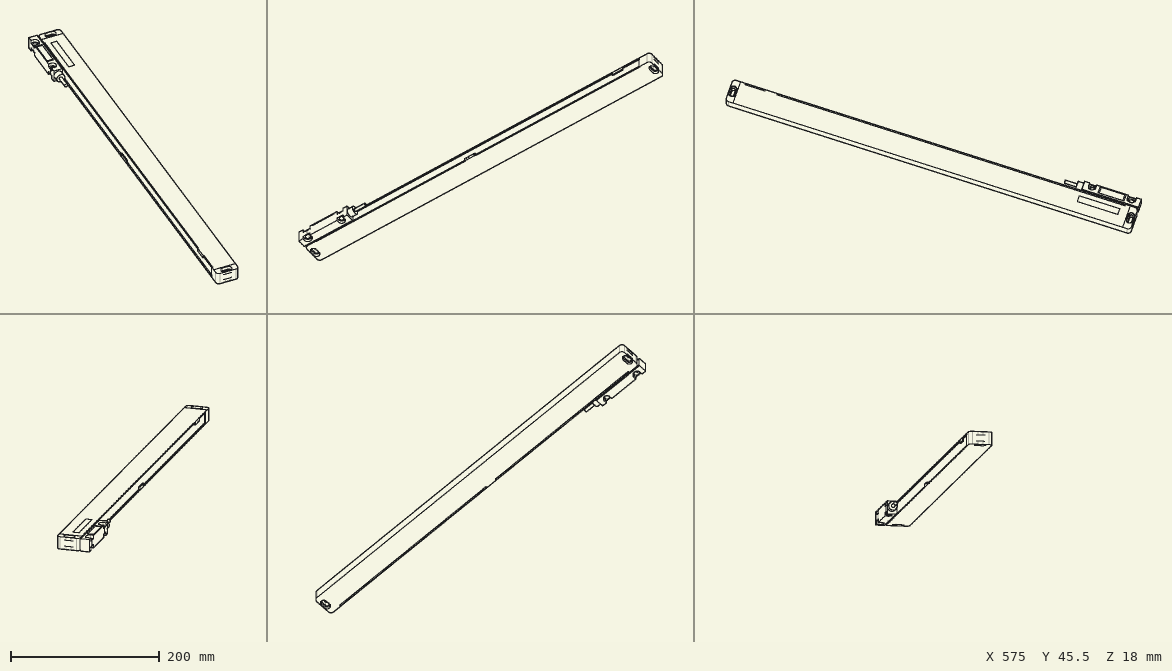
import cadquery as cq


length = 575.0
height = 18.0
label_rise = 0.1
beam_height = height - label_rise
beam_depth = 32.0
corner_radius = 4.5

end_length = 11.0
end_step = 0.1

mount_inset = 5.0
mount_y = beam_depth / 2
mount_slot_length = 11.5
mount_slot_width = 5.0
mount_recess_length = 15.5
mount_recess_width = 8.5
mount_recess_depth = 4.5

channel_inset = 18.0
channel_depth = 2.0
channel_lip = 1.0
tab_width = 17.0
tab_height = 4.5
top_tab_x = 520.5
bottom_tab_x = 275.0

label_left = 23.0
label_length = 57.5
label_width = 8.5
label_y = 12.5

head_gap = 0.5
head_length = 80.5
head_depth = 13.0
head_back = -head_gap
head_front = head_back - head_depth
head_chamfer = 1.0

bolt_setback = 4.0
bolt_y = head_front + bolt_setback
slot_x = 12.5
hole_x = 68.5
bolt_diameter = 6.5
bolt_recess_diameter = 10.0
bolt_recess_depth = 4.5
slot_travel = 2.0

panel_left = 21.0
panel_right = 58.0
panel_shoulder = 2.0
panel_margin = 1.0
panel_width = 8.5
panel_depth = 0.25

cable_setback = 6.5
cable_rise = 0.5
cable_y = head_front + cable_setback
cable_z = height / 2 + cable_rise
gland_diameter = 12.0
gland_length = 8.5
cable_diameter = 4.5
cable_end = 106.5


def box(x0, x1, y0, y1, z0, z1):
    """Axis-aligned block between two opposite corners."""
    return cq.Workplane("XY").box(x1 - x0, y1 - y0, z1 - z0, centered=False).translate((x0, y0, z0))


def slot(x, y, z0, z1, slot_length, width, angle):
    """Upright round-ended block; angle 0 runs along X and 90 along Y."""
    outline = cq.Workplane("XY", origin=(x, y, z0)).slot2D(slot_length, width, angle)
    return outline.extrude(z1 - z0)


def disc(x, y, z0, z1, diameter):
    """Upright cylinder."""
    return cq.Workplane("XY", origin=(x, y, z0)).circle(diameter / 2).extrude(z1 - z0)


def end_mount_cut(x):
    """Through slot with a wider recess on the top and on the underside."""
    through = slot(x, mount_y, 0, height, mount_slot_length, mount_slot_width, 90)
    for z0, z1 in ((0, mount_recess_depth), (beam_height - mount_recess_depth, height)):
        through = through.union(slot(x, mount_y, z0, z1, mount_recess_length, mount_recess_width, 90))
    return through


def front_channel():
    """Shallow channel along the front face, interrupted by two tabs flush with that face."""
    channel = box(
        channel_inset, length - channel_inset, 0, channel_depth, channel_lip, beam_height - channel_lip
    )
    tabs = ((top_tab_x, beam_height - tab_height, beam_height), (bottom_tab_x, 0, tab_height))
    for x, z0, z1 in tabs:
        channel = channel.cut(box(x - tab_width / 2, x + tab_width / 2, 0, channel_depth, z0, z1))
    return channel


def make_scale_unit():
    beam = box(0, length, 0, beam_depth, 0, beam_height).edges("|Z").fillet(corner_radius)
    for x0, x1 in ((0, end_length), (length - end_length, length)):
        beam = beam.cut(box(x0, x1, 0, beam_depth, beam_height - end_step, beam_height))
    for x in (mount_inset, length - mount_inset):
        beam = beam.cut(end_mount_cut(x))
    beam = beam.cut(front_channel())
    label = box(
        label_left, label_left + label_length,
        label_y - label_width / 2, label_y + label_width / 2,
        beam_height, height,
    )
    return beam.union(label)


def bolt_cut(x, travel):
    """Through hole whose recesses, top and bottom, open at the front; travel stretches it along X."""
    def round_ended(z0, z1, diameter):
        if travel == 0:
            return disc(x, bolt_y, z0, z1, diameter)
        return slot(x, bolt_y, z0, z1, diameter + travel, diameter, 0)

    cut = round_ended(0, height, bolt_diameter)
    for z0, z1 in ((0, bolt_recess_depth), (height - bolt_recess_depth, height)):
        cut = cut.union(round_ended(z0, z1, bolt_recess_diameter))
        half_width = (bolt_recess_diameter + travel) / 2
        cut = cut.union(box(x - half_width, x + half_width, head_front, bolt_y, z0, z1))
    return cut


def panel_cut():
    """Shallow recess in the top face, with a half-depth shoulder at each end."""
    front = head_front + panel_margin
    back = front + panel_width
    shoulders = box(panel_left, panel_right, front, back, height - panel_depth / 2, height)
    floor = box(
        panel_left + panel_shoulder, panel_right - panel_shoulder, front, back, height - panel_depth, height
    )
    return shoulders.union(floor)


def rod(x0, x1, diameter):
    """Cylinder along X on the cable axis."""
    return cq.Workplane("YZ", origin=(x0, cable_y, cable_z)).circle(diameter / 2).extrude(x1 - x0)


def make_reading_head():
    head = box(0, head_length, head_front, head_back, 0, height)
    head = head.edges("|X and >Y").chamfer(head_chamfer)
    head = head.cut(bolt_cut(slot_x, slot_travel)).cut(bolt_cut(hole_x, 0))
    head = head.cut(panel_cut())
    gland_end = head_length + gland_length
    head = head.union(rod(head_length, gland_end, gland_diameter))
    return head.union(rod(gland_end, cable_end, cable_diameter))


scale_unit = make_scale_unit()
reading_head = make_reading_head()

result = cq.Compound.makeCompound([scale_unit.val(), reading_head.val()])